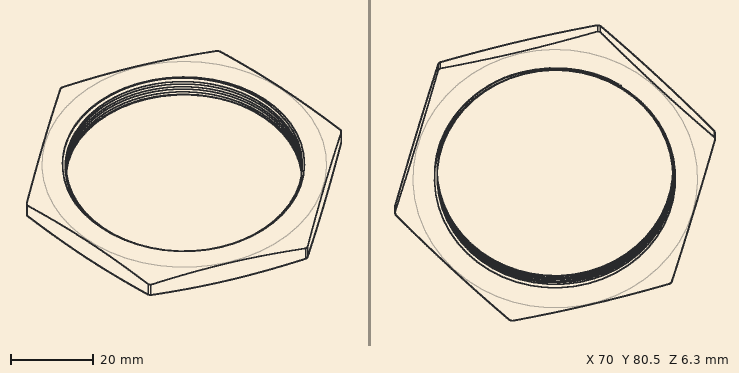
import cadquery as cq
import math

across_flats = 70.0
corner_diameter = 80.5
thickness = 6.3
face_circle_diameter = 69.4
corner_height = 3.7

bore_radius = 28.7
lead_in = 0.65
pitch = 1.81
thread_depth = 0.9
groove_width = 1.0
root_width = 0.25
groove_exit_angle = 255.0
groove_overlap = 0.3
overrun = 0.8

half_thickness = thickness / 2


def make_hexagon():
    """Hexagon with corners on the Y axis and flats facing +X and -X."""
    circumdiameter = across_flats / math.cos(math.radians(30))
    return (
        cq.Workplane("XY")
        .polygon(6, circumdiameter)
        .extrude(thickness)
        .rotate((0, 0, 0), (0, 0, 1), 30)
        .translate((0, 0, -half_thickness))
    )


def make_turned_envelope():
    """Cylinder with shallow cones at both ends, which trims the hexagon corners."""
    face_radius = face_circle_diameter / 2
    corner_radius = corner_diameter / 2
    return (
        cq.Workplane("XZ")
        .moveTo(0, -half_thickness)
        .lineTo(face_radius, -half_thickness)
        .lineTo(corner_radius, -corner_height / 2)
        .lineTo(corner_radius, corner_height / 2)
        .lineTo(face_radius, half_thickness)
        .lineTo(0, half_thickness)
        .close()
        .revolve(360, (0, 0, 0), (0, 1, 0))
    )


def make_bore():
    """Plain through bore whose lead-in cones continue past both faces."""
    mouth_radius = bore_radius + lead_in + overrun
    mouth_height = half_thickness + overrun
    return (
        cq.Workplane("XZ")
        .moveTo(0, -mouth_height)
        .lineTo(mouth_radius, -mouth_height)
        .lineTo(bore_radius, -half_thickness + lead_in)
        .lineTo(bore_radius, half_thickness - lead_in)
        .lineTo(mouth_radius, mouth_height)
        .lineTo(0, mouth_height)
        .close()
        .revolve(360, (0, 0, 0), (0, 1, 0))
    )


def make_groove_turn():
    """One right-handed turn of the trapezoidal thread groove, starting at Z = 0."""
    flank_slope = (groove_width - root_width) / 2 / thread_depth
    root_half = root_width / 2
    inner_half = groove_width / 2 + flank_slope * groove_overlap
    inner_radius = bore_radius - groove_overlap
    root_radius = bore_radius + thread_depth
    helix = cq.Wire.makeHelix(pitch, pitch, bore_radius)
    return (
        cq.Workplane("XZ")
        .moveTo(inner_radius, -inner_half)
        .lineTo(root_radius, -root_half)
        .lineTo(root_radius, root_half)
        .lineTo(inner_radius, inner_half)
        .close()
        .sweep(cq.Workplane(helix), isFrenet=True)
        .rotate((0, 0, 0), (0, 0, 1), groove_exit_angle)
    )


def cut_thread(body):
    """Cut the groove turn by turn, from below the bottom face to above the top face."""
    groove_turn = make_groove_turn()
    turns_below_top = math.ceil(thickness / pitch)
    for turn in range(-turns_below_top, 1):
        height = half_thickness + turn * pitch
        body = body.cut(groove_turn.translate((0, 0, height)))
    return body


blank = make_hexagon().intersect(make_turned_envelope())
result = cut_thread(blank.cut(make_bore()))